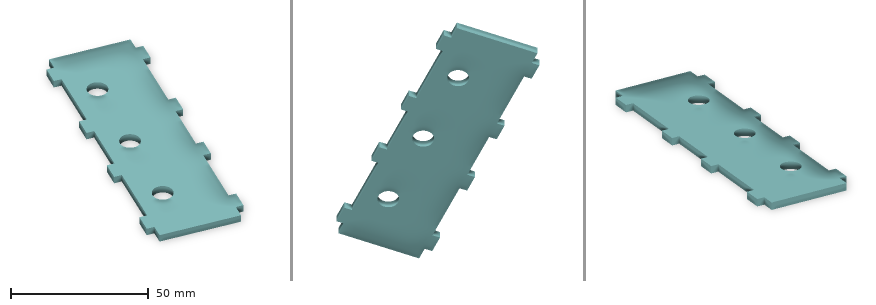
import cadquery as cq

length = 110.0
overall_width = 37.7
thickness = 3.0

tab_depth = thickness
tab_width = 7.3
inner_tab_x = 13.8
tab_pitch = 32.5
outer_tab_x = inner_tab_x + tab_pitch
tab_centers = [-outer_tab_x, -inner_tab_x, inner_tab_x, outer_tab_x]

hole_diameter = 7.9
hole_pitch = tab_pitch
hole_row_y = -5.8
hole_centers = [(column * hole_pitch, hole_row_y) for column in (-1, 0, 1)]

body_width = overall_width - 2 * tab_depth
plate = cq.Workplane("XY").box(length, body_width, thickness)

tab_bars = (
    cq.Workplane("XY")
    .pushPoints([(x, 0) for x in tab_centers])
    .box(tab_width, overall_width, thickness)
)

result = (
    plate.union(tab_bars)
    .clean()
    .faces(">Z")
    .workplane(origin=(0, 0, 0))
    .pushPoints(hole_centers)
    .hole(hole_diameter)
)